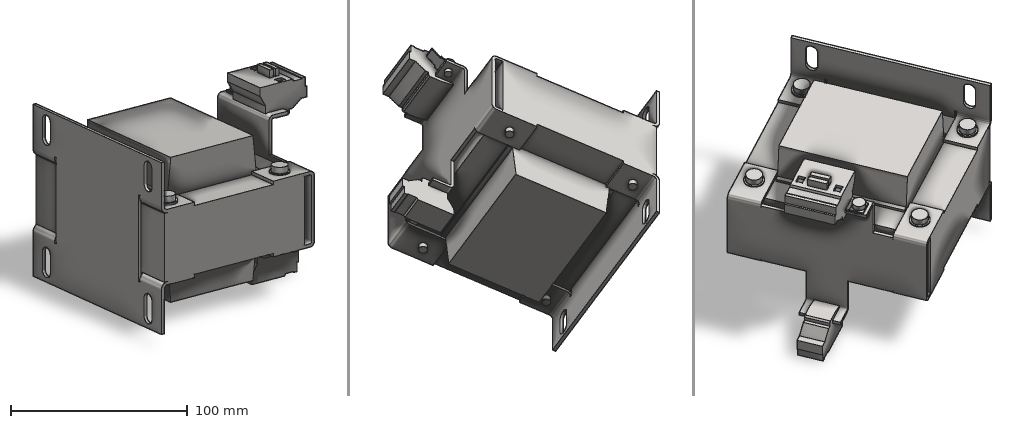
import cadquery as cq
import math

part_width = 120.0
half_width = part_width / 2
sheet = 2.0

core_depth = 100.0
core_height = 41.6
core_top = core_height / 2
leg_width = 20.2
leg_inner_x = half_width - leg_width
window_front = 21.9
window_rear = 81.8

winding_half_x = 38.7
winding_middle_y = 52.2
winding_top = 43.8
winding_rim = 2.0
winding_depth_top = 59.0
winding_depth_base = 63.3
flange_depth = 68.8
flange_thickness = 1.5
flange_top = core_top + flange_thickness

plate_height = 103.8
notch_inner_x = 38.4
notch_height = 52.0
slot_width = 7.3
slot_length = 18.2
slot_x = 47.5
slot_z = 40.0
front_bend_radius = 4.3
front_tab_end = 23.5

bracket_outer_y = 109.0
bracket_inner_y = bracket_outer_y - sheet
tab_top = core_top + sheet
rear_bend_radius = 3.2
rear_tab_end = 79.7
shelf_z = 44.3
shelf_end_y = 120.8
shelf_bend_radius = 3.0
shelf_margin = 4.8
earth_margin = 12.7

screw_x = 49.8
front_screw_y = 11.8
rear_screw_y = 92.0
screw_head_radius = 4.8
screw_head_height = 3.9
screw_washer_radius = 5.9
screw_shank_radius = 2.5
screw_shank_end = -26.3
front_washer_height = 1.1
rear_washer_height = 0.5

pole_width = 15.3
terminal_top = 60.6
lever_half_x = 5.8
lever_top = 65.4
lever_depth = 2.6
lever_front_faces = (118.4, 122.5)
socket_x = 11.3
socket_y = 121.6
socket_width = 4.0
socket_depth_y = 4.8
socket_depth = 2.0

earth_x = -21.9
earth_y = 116.1
earth_head_radius = 3.9
earth_head_height = 3.2
earth_shank_radius = 2.2
earth_shank_end = 39.8
lug_half_width = 4.1
lug_front_y = 111.8
lug_thickness = 1.2
tongue_width = 6.3
tongue_thickness = 0.8
tongue_shoulder_y = 122.8
tongue_tip_y = 128.5
tongue_tip_z = 52.3


def box(x0, x1, y0, y1, z0, z1):
    """Block between two opposite corners."""
    return cq.Workplane("XY").box(x1 - x0, y1 - y0, z1 - z0, centered=False).translate((x0, y0, z0))


def disc(x, y, radius, z0, z1):
    """Upright cylinder."""
    return cq.Workplane("XY", origin=(x, y, z0)).circle(radius).extrude(z1 - z0)


def side_profile(points, x0, x1):
    """Closed Y-Z outline extruded from x0 to x1."""
    return cq.Workplane("YZ", origin=(x0, 0, 0)).polyline(points).close().extrude(x1 - x0)


def bent_sheet(corner_y, corner_z, end_y, end_z, radius, x0, x1):
    """Sheet bent at a right angle: outer corner, far ends of its two legs, outer bend radius."""
    to_y = math.copysign(1, end_y - corner_y)
    to_z = math.copysign(1, end_z - corner_z)
    centre_y = corner_y + to_y * radius
    centre_z = corner_z + to_z * radius
    inner_radius = radius - sheet
    diagonal = math.sqrt(0.5)
    outer_middle = (centre_y - to_y * radius * diagonal, centre_z - to_z * radius * diagonal)
    inner_middle = (centre_y - to_y * inner_radius * diagonal, centre_z - to_z * inner_radius * diagonal)
    return (
        cq.Workplane("YZ", origin=(x0, 0, 0))
        .moveTo(corner_y, end_z)
        .lineTo(corner_y, centre_z)
        .threePointArc(outer_middle, (centre_y, corner_z))
        .lineTo(end_y, corner_z)
        .lineTo(end_y, corner_z + to_z * sheet)
        .lineTo(centre_y, corner_z + to_z * sheet)
        .threePointArc(inner_middle, (corner_y + to_y * sheet, centre_z))
        .lineTo(corner_y + to_y * sheet, end_z)
        .close()
        .extrude(x1 - x0)
    )


def core():
    """Rectangular core with an open window for the winding."""
    body = box(-half_width, half_width, sheet, sheet + core_depth, -core_top, core_top)
    window = box(-leg_inner_x, leg_inner_x, window_front, window_rear, -core_top, core_top)
    return body.cut(window)


def winding():
    """Coil with sloped front and rear faces between its flanges and upright end rims."""
    half_base = winding_depth_base / 2
    half_top = winding_depth_top / 2
    rim_bottom = winding_top - winding_rim
    outline = [
        (winding_middle_y - half_top, winding_top),
        (winding_middle_y + half_top, winding_top),
        (winding_middle_y + half_top, rim_bottom),
        (winding_middle_y + half_base, core_top),
        (winding_middle_y + half_base, -core_top),
        (winding_middle_y + half_top, -rim_bottom),
        (winding_middle_y + half_top, -winding_top),
        (winding_middle_y - half_top, -winding_top),
        (winding_middle_y - half_top, -rim_bottom),
        (winding_middle_y - half_base, -core_top),
        (winding_middle_y - half_base, core_top),
        (winding_middle_y - half_top, rim_bottom),
    ]
    body = side_profile(outline, -winding_half_x, winding_half_x)
    flange_front = winding_middle_y - flange_depth / 2
    flange_rear = winding_middle_y + flange_depth / 2
    for z0, z1 in ((core_top, flange_top), (-flange_top, -core_top)):
        body = body.union(box(-winding_half_x, winding_half_x, flange_front, flange_rear, z0, z1))
    return body


def mounting_plate():
    """Slotted plate with two side notches whose edges are bent back over the core."""
    half_height = plate_height / 2
    plate = box(-half_width, half_width, 0, sheet, -half_height, half_height)
    slots = (
        cq.Workplane("XZ")
        .rect(2 * slot_x, 2 * slot_z, forConstruction=True)
        .vertices()
        .slot2D(slot_length, slot_width, 90)
        .extrude(-sheet)
    )
    plate = plate.cut(slots)
    for x0, x1 in ((-half_width, -notch_inner_x), (notch_inner_x, half_width)):
        plate = plate.cut(box(x0, x1, 0, sheet, -notch_height / 2, notch_height / 2))
    for x0, x1 in ((-half_width, -leg_inner_x), (leg_inner_x, half_width)):
        for side in (-1, 1):
            tab = bent_sheet(
                0, side * core_top, front_tab_end, side * notch_height / 2, front_bend_radius, x0, x1
            )
            plate = plate.union(tab)
    return plate


def rear_bracket():
    """Rear panel with four tabs over the core and a bent shelf above and below."""
    bracket = box(-leg_inner_x, leg_inner_x, bracket_inner_y, bracket_outer_y, -core_top, core_top)
    for x0, x1 in ((-half_width, -leg_inner_x), (leg_inner_x, half_width)):
        for side in (-1, 1):
            tab = bent_sheet(bracket_outer_y, side * tab_top, rear_tab_end, 0, rear_bend_radius, x0, x1)
            bracket = bracket.union(tab)
    upper_shelf = bent_sheet(
        bracket_inner_y, shelf_z, shelf_end_y, 0, shelf_bend_radius,
        -pole_width - earth_margin, pole_width + shelf_margin,
    )
    lower_half = pole_width / 2 + shelf_margin
    lower_shelf = bent_sheet(
        bracket_inner_y, -shelf_z, shelf_end_y, 0, shelf_bend_radius, -lower_half, lower_half
    )
    return bracket.union(upper_shelf).union(lower_shelf)


def core_screw(x, y, washer_height):
    """Screw through the core with a washer under its head."""
    washer_top = tab_top + washer_height
    screw = disc(x, y, screw_shank_radius, screw_shank_end, washer_top)
    screw = screw.union(disc(x, y, screw_washer_radius, tab_top, washer_top))
    return screw.union(disc(x, y, screw_head_radius, washer_top, washer_top + screw_head_height))


def terminal_block(half_x):
    """Terminal housing around the upper shelf, stepped at the rear and cut back underneath."""
    outline = [
        (104.4, terminal_top),
        (104.4, 55.4),
        (108.4, 48.6),
        (108.4, 41.2),
        (116.4, 39.8),
        (124.2, 39.8),
        (125.2, 40.8),
        (125.2, 43.0),
        (127.2, 43.0),
        (133.7, 47.6),
        (137.7, 47.6),
        (137.7, 54.3),
        (136.6, 54.3),
        (136.6, 59.9),
        (134.3, 59.9),
        (134.3, 59.3),
        (128.5, 59.3),
        (127.6, terminal_top),
    ]
    return side_profile(outline, -half_x, half_x)


def upper_terminals():
    """Double terminal with two levers and two sockets in its top face."""
    body = terminal_block(pole_width)
    for y in lever_front_faces:
        body = body.union(box(-lever_half_x, lever_half_x, y, y + lever_depth, terminal_top, lever_top))
    for x in (-socket_x, socket_x):
        socket = box(
            x - socket_width / 2, x + socket_width / 2,
            socket_y - socket_depth_y / 2, socket_y + socket_depth_y / 2,
            terminal_top - socket_depth, terminal_top,
        )
        body = body.cut(socket)
    return body


def earth_terminal():
    """Screw on the upper shelf clamping a square lug with a shouldered tongue sloping up."""
    lug_top = shelf_z + lug_thickness
    lug = box(
        earth_x - lug_half_width, earth_x + lug_half_width, lug_front_y, shelf_end_y, shelf_z, lug_top
    )
    slope = (tongue_tip_z - lug_top) / (tongue_tip_y - shelf_end_y)
    drop = tongue_thickness * math.hypot(1, slope)
    for width, tip_y in ((2 * lug_half_width, tongue_shoulder_y), (tongue_width, tongue_tip_y)):
        tip_z = lug_top + slope * (tip_y - shelf_end_y)
        outline = [
            (shelf_end_y, lug_top),
            (tip_y, tip_z),
            (tip_y, tip_z - drop),
            (shelf_end_y, lug_top - drop),
        ]
        lug = lug.union(side_profile(outline, earth_x - width / 2, earth_x + width / 2))
    shank = disc(earth_x, earth_y, earth_shank_radius, earth_shank_end, lug_top)
    head = disc(earth_x, earth_y, earth_head_radius, lug_top, lug_top + earth_head_height)
    return lug.union(shank).union(head)


result = core().union(winding()).union(mounting_plate()).union(rear_bracket())
for x in (-screw_x, screw_x):
    result = result.union(core_screw(x, front_screw_y, front_washer_height))
    result = result.union(core_screw(x, rear_screw_y, rear_washer_height))
result = result.union(upper_terminals())
result = result.union(terminal_block(pole_width / 2).mirror("XY"))
result = result.union(earth_terminal())